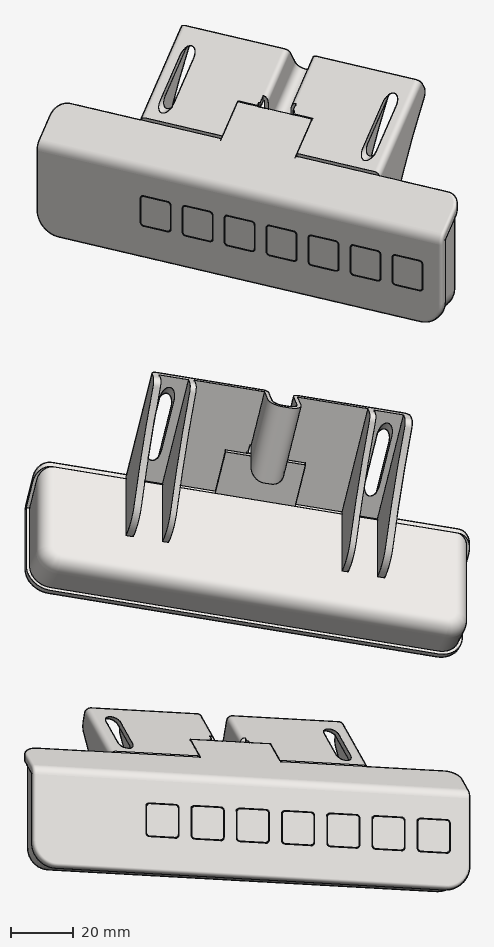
import cadquery as cq
import math

WIDTH = 145.0
DEPTH = 15.0
SLOPE = math.radians(34.5)
FRONT_HEIGHT = 31.85
SIN, COS, TAN = math.sin(SLOPE), math.cos(SLOPE), math.tan(SLOPE)

COVER_THICKNESS = 2.5
COVER_LOWER_RADIUS = 8.0
COVER_REAR_RADIUS = 5.0
BEND_RADIUS = 4.0
RIM_RADIUS = 1.0
TAB_WIDTH = 26.6
TAB_END_GAP = 0.35
TAB_END_Y = 25.5

BUTTON_COUNT = 7
BUTTON_PITCH = 15.0
FIRST_BUTTON_X = -29.75
BUTTON_Z = 17.0
BUTTON_SIZE = 10.5
BUTTON_RADIUS = 1.0
BUTTON_GAP = 0.25

HOUSING_INSET = 1.1
HOUSING_REAR_RADIUS = 4.5

BRACKET_WIDTH = 86.0
BRACKET_END_Y = 43.79
BRACKET_END_Z = 61.69
BRACKET_EDGE_RADIUS = 2.0
SHEET_THICKNESS = 1.6
SIDE_SHEET_THICKNESS = 2.0
FLANGE_THICKNESS = 2.4
FLANGE_END_DEPTH = 7.0
FLANGE_END_RADIUS = 3.0
FLANGE_LOWER_Z = 17.1
FLANGE_LOWER_RADIUS = 11.0
FLANGE_LOWER_SWEEP = math.radians(62.0)
RIB_X = 29.85
RIB_THICKNESS = 2.0

SLOT_X = 36.2
SLOT_WIDTH = 4.8
SLOT_HEIGHT = 14.4
SLOT_Z = 50.8

CHANNEL_DEPTH = 12.75
CHANNEL_WIDTH = 8.2
CHANNEL_WALL = 1.4
CHANNEL_CORNER_RADIUS = 3.0
CHANNEL_LIP_RADIUS = 1.8
CHANNEL_START_Y = 29.1
OPENING_LENGTH = 2.2
TAB_CLEARANCE_WIDTH = 12.8

CHANNEL_MOUTH = CHANNEL_WIDTH + 2 * CHANNEL_LIP_RADIUS
TOOL_LENGTH = 60.0


def slope_z(y):
    """Height of the sloped top of the cover at depth y."""
    return FRONT_HEIGHT + y * TAN


def bracket_z(y):
    """Height of the top of the bracket at depth y."""
    return BRACKET_END_Z - (BRACKET_END_Y - y) * TAN


COVER_DROP = COVER_THICKNESS / COS

END_PLANE = cq.Plane(
    origin=(0, BRACKET_END_Y, BRACKET_END_Z), xDir=(1, 0, 0), normal=(0, COS, SIN)
)

ALONG_SLOPE = cq.selectors.ParallelDirSelector(cq.Vector(0, COS, SIN))


def prism(points, width):
    """Solid with the given (Y, Z) outline, centred on X = 0."""
    return cq.Workplane("YZ").polyline(points).close().extrude(width / 2, both=True)


def slope_bar(x_min, x_max, depth_min, depth_max):
    """Straight bar running down the slope from the end of the bracket."""
    return (
        cq.Workplane(END_PLANE)
        .center((x_min + x_max) / 2, (depth_min + depth_max) / 2)
        .rect(x_max - x_min, depth_max - depth_min)
        .extrude(-TOOL_LENGTH)
    )


def space_under_cover(floor_z):
    """(Y, Z) outline of the space behind the front and under the sloped top."""
    return [
        (COVER_THICKNESS, floor_z),
        (DEPTH, floor_z),
        (DEPTH, slope_z(DEPTH) - COVER_DROP),
        (COVER_THICKNESS, slope_z(COVER_THICKNESS) - COVER_DROP),
    ]


def make_tab(end_gap=0):
    """Tab on the cover; with a gap added to its end, the recess that takes it."""
    root_y = DEPTH - 2 * COVER_THICKNESS
    end_y = TAB_END_Y + end_gap
    return prism(
        [
            (root_y, slope_z(root_y)),
            (end_y, slope_z(end_y)),
            (end_y + COVER_THICKNESS * SIN, slope_z(end_y) - COVER_THICKNESS * COS),
            (root_y, slope_z(root_y) - COVER_DROP),
        ],
        TAB_WIDTH,
    )


def button_block(x, size, radius):
    return (
        cq.Workplane("XZ")
        .center(x, BUTTON_Z)
        .rect(size, size)
        .extrude(-COVER_THICKNESS)
        .edges("|Y")
        .fillet(radius)
    )


def make_cover():
    cover = prism([(0, 0), (DEPTH, 0), (DEPTH, slope_z(DEPTH)), (0, FRONT_HEIGHT)], WIDTH)
    cover = cover.faces("<Z").edges("|Y").fillet(COVER_LOWER_RADIUS)
    cover = cover.faces(">Y").edges("|Z").fillet(COVER_REAR_RADIUS)
    cover = cover.faces("<Y").edges(">Z").fillet(BEND_RADIUS)
    cover = cover.faces("<Y").edges("<Z").fillet(RIM_RADIUS)
    cover = cover.cut(prism(space_under_cover(0), WIDTH))
    cover = cover.union(make_tab())
    for x in button_places:
        hole = button_block(x, BUTTON_SIZE + 2 * BUTTON_GAP, BUTTON_RADIUS + BUTTON_GAP)
        cover = cover.cut(hole)
    return cover


def make_case():
    case = prism(space_under_cover(HOUSING_INSET), WIDTH - 2 * HOUSING_INSET)
    case = case.faces("<Z").edges("|Y").fillet(COVER_LOWER_RADIUS - HOUSING_INSET)
    return case.faces(">Y").edges("<Z").fillet(HOUSING_REAR_RADIUS)


def make_bracket_block():
    """Solid side outline of the bracket, over its full width."""
    sweep = FLANGE_LOWER_SWEEP
    radius = FLANGE_LOWER_RADIUS

    def lower_arc(angle):
        return (
            DEPTH + radius * math.sin(angle),
            FLANGE_LOWER_Z + radius * (1 - math.cos(angle)),
        )

    tip = (
        BRACKET_END_Y + FLANGE_END_DEPTH * SIN,
        BRACKET_END_Z - FLANGE_END_DEPTH * COS,
    )
    block = (
        cq.Workplane("YZ")
        .moveTo(DEPTH, bracket_z(DEPTH))
        .lineTo(DEPTH, FLANGE_LOWER_Z)
        .threePointArc(lower_arc(sweep / 2), lower_arc(sweep))
        .tangentArcPoint(tip, relative=False)
        .lineTo(BRACKET_END_Y, BRACKET_END_Z)
        .close()
        .extrude(BRACKET_WIDTH / 2, both=True)
    )
    block = block.edges("|X").edges(">Y").fillet(FLANGE_END_RADIUS)
    return block.edges(ALONG_SLOPE).fillet(BRACKET_EDGE_RADIUS)


def behind_channel_start(solid):
    """Keep the part of a solid that lies behind the start of the cable channel."""
    size = 4 * TOOL_LENGTH
    keep = cq.Workplane("XY").box(size, size, size).translate((0, CHANNEL_START_Y + size / 2, 0))
    return solid.intersect(keep)


def make_channel_trough():
    outer_width = CHANNEL_WIDTH + 2 * CHANNEL_WALL
    trough = slope_bar(-outer_width / 2, outer_width / 2, 0, CHANNEL_DEPTH)
    lower_edges = trough.edges(ALONG_SLOPE).edges("<Z")
    trough = lower_edges.fillet(CHANNEL_CORNER_RADIUS + CHANNEL_WALL)
    return behind_channel_start(trough)


def make_channel_groove():
    half = CHANNEL_WIDTH / 2
    floor = CHANNEL_DEPTH - CHANNEL_WALL
    lip = CHANNEL_LIP_RADIUS
    corner = CHANNEL_CORNER_RADIUS
    groove = (
        cq.Workplane(END_PLANE)
        .moveTo(-half - lip, 0)
        .radiusArc((-half, lip), -lip)
        .lineTo(-half, floor - corner)
        .radiusArc((-half + corner, floor), corner)
        .lineTo(half - corner, floor)
        .radiusArc((half, floor - corner), corner)
        .lineTo(half, lip)
        .radiusArc((half + lip, 0), -lip)
        .close()
        .extrude(-TOOL_LENGTH)
    )
    return behind_channel_start(groove)


def make_bracket():
    bracket = make_bracket_block()

    flange_inner = BRACKET_WIDTH / 2 - FLANGE_THICKNESS
    rib_outer = RIB_X + RIB_THICKNESS / 2
    rib_inner = RIB_X - RIB_THICKNESS / 2
    bays = [
        (-flange_inner, -rib_outer, SIDE_SHEET_THICKNESS),
        (-rib_inner, rib_inner, SHEET_THICKNESS),
        (rib_outer, flange_inner, SIDE_SHEET_THICKNESS),
    ]
    for x_min, x_max, sheet in bays:
        bracket = bracket.cut(slope_bar(x_min, x_max, sheet, TOOL_LENGTH))

    bracket = bracket.union(make_channel_trough()).cut(make_channel_groove())

    wide_end_y = CHANNEL_START_Y - OPENING_LENGTH
    for width, end_y in [(CHANNEL_MOUTH, CHANNEL_START_Y), (TAB_CLEARANCE_WIDTH, wide_end_y)]:
        opening = (
            cq.Workplane("XY")
            .center(0, (TAB_END_Y + end_y) / 2)
            .rect(width, end_y - TAB_END_Y)
            .extrude(BRACKET_END_Z)
        )
        bracket = bracket.cut(opening)

    slots = (
        cq.Workplane("XZ")
        .pushPoints([(-SLOT_X, SLOT_Z), (SLOT_X, SLOT_Z)])
        .slot2D(SLOT_HEIGHT, SLOT_WIDTH, 90)
        .extrude(-TOOL_LENGTH)
    )
    return bracket.cut(slots)


button_places = [FIRST_BUTTON_X + i * BUTTON_PITCH for i in range(BUTTON_COUNT)]

cover = make_cover()
housing = make_case().union(make_bracket()).cut(make_tab(TAB_END_GAP))
buttons = [button_block(x, BUTTON_SIZE, BUTTON_RADIUS) for x in button_places]

result = cq.Compound.makeCompound(
    [cover.val(), housing.val(), *[button.val() for button in buttons]]
)